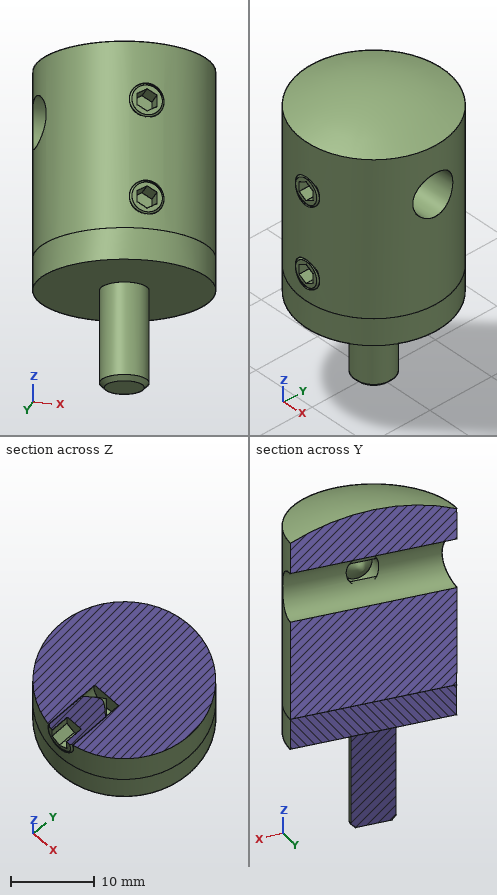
import cadquery as cq
import math

total_height = 42.45
outer_diameter = 22.0
dome_height = 2.2
base_thickness = 4.05
stud_length = 12.4
stud_diameter = 6.0
stud_chamfer = 0.6

rod_hole_diameter = 6.5
rod_hole_height = 32.85

screw_spacing = 12.4
screw_diameter = 4.3
screw_length = 8.0
screw_chamfer = 0.25
socket_across_flats = 2.45
socket_depth = 2.5

outer_radius = outer_diameter / 2
housing_bottom = stud_length + base_thickness
shoulder_height = total_height - dome_height
dome_radius = (outer_radius**2 + dome_height**2) / (2 * dome_height)
screw_radius = screw_diameter / 2
screw_shank_length = screw_length - screw_radius
screw_heights = [rod_hole_height, rod_hole_height - screw_spacing]


def front_plane(height):
    """Plane at the foremost line of the housing, with its normal pointing into the part (+Y)."""
    return cq.Plane(origin=(0, -outer_radius, height), xDir=(0, 0, 1), normal=(0, 1, 0))


def make_housing():
    """Domed cylinder with a cross hole along X and two screw holes, the upper meeting it."""
    dome_mid_radius = outer_radius / 2
    dome_mid_height = total_height - dome_radius + math.sqrt(dome_radius**2 - dome_mid_radius**2)
    body = (
        cq.Workplane("XZ")
        .moveTo(0, housing_bottom)
        .lineTo(outer_radius, housing_bottom)
        .lineTo(outer_radius, shoulder_height)
        .threePointArc((dome_mid_radius, dome_mid_height), (0, total_height))
        .close()
        .revolve(360, (0, 0), (0, 1))
    )
    rod_hole = (
        cq.Workplane("YZ")
        .center(0, rod_hole_height)
        .circle(rod_hole_diameter / 2)
        .extrude(outer_radius, both=True)
    )
    body = body.cut(rod_hole)
    for height in screw_heights:
        screw_hole = cq.Workplane(front_plane(height)).circle(screw_radius).extrude(screw_length)
        body = body.cut(screw_hole)
    return body


def make_base():
    """Plain disc closing the underside of the housing."""
    return cq.Workplane("XY").workplane(offset=stud_length).circle(outer_radius).extrude(base_thickness)


def make_stud():
    """Round stud below the base, chamfered at its free end."""
    stud = cq.Workplane("XY").circle(stud_diameter / 2).extrude(stud_length)
    return stud.faces("<Z").chamfer(stud_chamfer)


def make_set_screw(height):
    """Set screw along Y: chamfered head, conical point and a hexagon socket with corners up and down."""
    screw = (
        cq.Workplane("XY")
        .lineTo(screw_radius - screw_chamfer, 0)
        .lineTo(screw_radius, screw_chamfer)
        .lineTo(screw_radius, screw_shank_length)
        .lineTo(0, screw_length)
        .close()
        .revolve(360, (0, 0), (0, 1))
        .translate((0, -outer_radius, height))
    )
    socket_across_corners = socket_across_flats / math.cos(math.pi / 6)
    socket = cq.Workplane(front_plane(height)).polygon(6, socket_across_corners).extrude(socket_depth)
    return screw.cut(socket)


housing = make_housing()
base = make_base()
stud = make_stud()
set_screws = [make_set_screw(height) for height in screw_heights]

result = cq.Compound.makeCompound(
    [housing.val(), base.val(), stud.val(), *[screw.val() for screw in set_screws]]
)